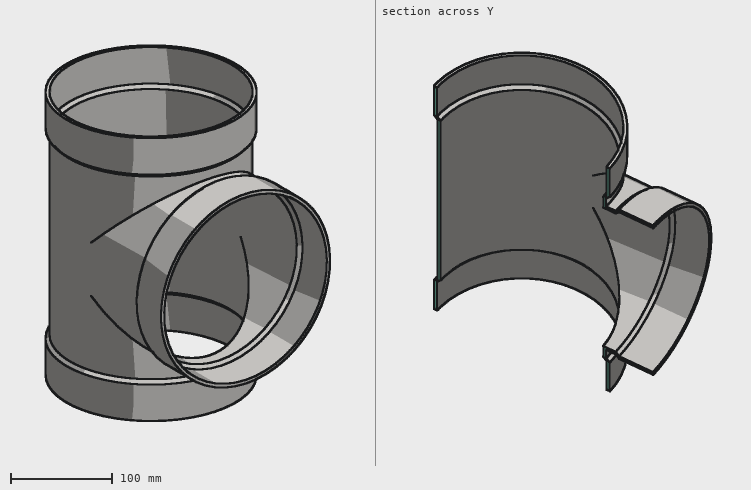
import cadquery as cq

wall = 4.0
pipe_diameter = 200.0
run_length = 310.0
branch_reach = run_length / 2
socket_length = 40.0
taper_length = 4.0

pipe_radius = pipe_diameter / 2
bore_radius = pipe_radius - wall
socket_radius = pipe_radius + wall


def revolve_about_z(profile):
    """Revolve a closed XZ profile about the Z axis."""
    return profile.close().revolve(360, (0, 0, 0), (0, 1, 0))


def run_form(small_radius, large_radius):
    """Solid of revolution along Z, widening through cones into a socket at both ends."""
    mouth = run_length / 2
    socket_start = mouth - socket_length
    taper_start = socket_start - taper_length
    return revolve_about_z(
        cq.Workplane("XZ")
        .moveTo(0, -mouth)
        .lineTo(large_radius, -mouth)
        .lineTo(large_radius, -socket_start)
        .lineTo(small_radius, -taper_start)
        .lineTo(small_radius, taper_start)
        .lineTo(large_radius, socket_start)
        .lineTo(large_radius, mouth)
        .lineTo(0, mouth)
    )


def branch_form(small_radius, large_radius):
    """Solid of revolution from the run axis along +X, widening into one socket."""
    socket_start = branch_reach - socket_length
    upright = revolve_about_z(
        cq.Workplane("XZ")
        .moveTo(0, 0)
        .lineTo(small_radius, 0)
        .lineTo(small_radius, socket_start - taper_length)
        .lineTo(large_radius, socket_start)
        .lineTo(large_radius, branch_reach)
        .lineTo(0, branch_reach)
    )
    return upright.rotate((0, 0, 0), (0, 1, 0), 90)


def tee_form(small_radius, large_radius):
    """Run and branch joined into one solid tee centred on the crossing of their axes."""
    run = run_form(small_radius, large_radius)
    return run.union(branch_form(small_radius, large_radius))


body = tee_form(pipe_radius, socket_radius)
cavity = tee_form(bore_radius, pipe_radius)

result = body.cut(cavity)